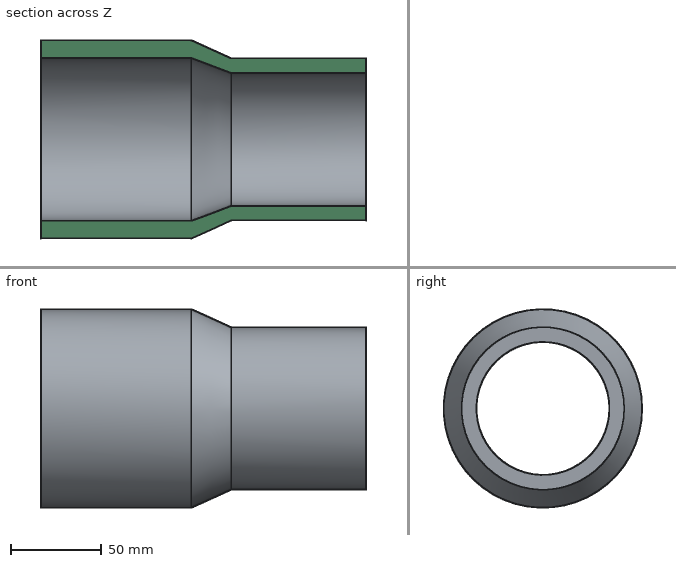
import cadquery as cq

total_length = 180.0
wide_length = 83.3
taper_length = 22.0
wide_diameter = 110.0
narrow_diameter = 90.0
wide_bore_diameter = 90.0
narrow_bore_diameter = 73.5

taper_end = wide_length + taper_length


def stepped_solid(start_diameter, end_diameter):
    """Two coaxial cylinders joined by a cone, starting at X = 0."""
    start_radius = start_diameter / 2
    end_radius = end_diameter / 2
    profile = (
        cq.Workplane("XY")
        .lineTo(0, start_radius)
        .lineTo(wide_length, start_radius)
        .lineTo(taper_end, end_radius)
        .lineTo(total_length, end_radius)
        .lineTo(total_length, 0)
        .close()
    )
    return profile.revolve(360, (0, 0, 0), (1, 0, 0))


body = stepped_solid(wide_diameter, narrow_diameter)
bore = stepped_solid(wide_bore_diameter, narrow_bore_diameter)

result = body.cut(bore)